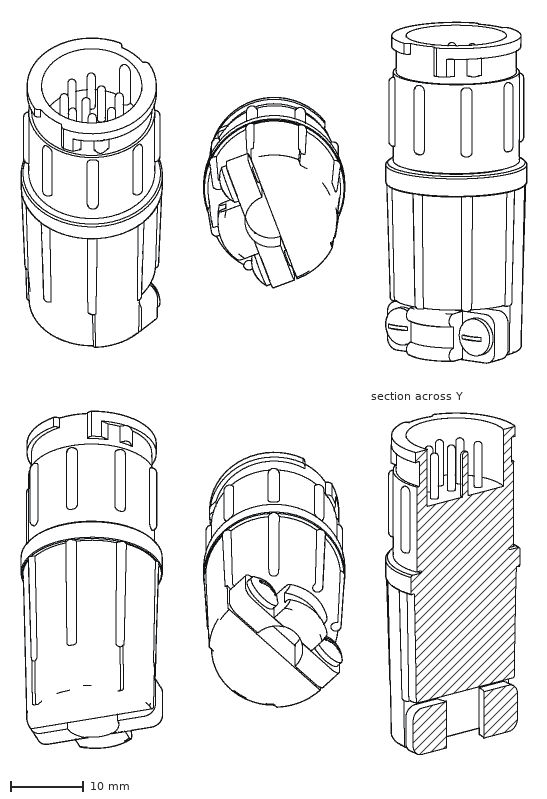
import cadquery as cq
import math

total_height = 44.75

flange_radius = 8.95
flange_height = 1.5
neck_radius = 8.3
socket_radius = 6.95
socket_depth = 8.35
notch_half_width = 1.9
notch_corner_radius = 0.9
lug_height = 4.03
lug_wedge_reach = 9.85
lug_end_outer = (3.8, -8.4)
lug_end_inner = (4.65, -6.95)
catch_x = 7.25
catch_y = 5.75
catch_corner_radius = 0.6

pin_diameter = 1.1
pin_radius = pin_diameter / 2
pin_top = 42.95
pin_circle_radius = 3.8
inner_pin_offsets = (1.92, -1.1)
pin_circle_steps = 8
top_circle_step = 2
key_radius = 0.8
key_offset = 6.7
key_top = 43.5
index_dot_radius = 0.3
index_dot_position = (-2.33, 4.05)
index_dot_height = 0.25
pin_root_depth = 0.45

sleeve_top = 39.6
sleeve_bottom = 27.05
sleeve_radius = 8.7
groove_radius = 7.95
collar_top = 26.8
collar_bottom = 23.95
collar_diameter = 19.55
collar_radius = collar_diameter / 2
collar_chamfer = 0.25
collar_lower_chamfer = 0.15

body_top_radius = 9.15
body_bottom_radius = 8.68
flank_top_radius = 9.5
flank_bottom_radius = 9.0
flank_wall_top_y = 6.75
flank_wall_bottom_y = 6.1
body_bottom = 0.7
body_edge_radius = 0.25
rear_bottom = 7.75

rib_count = 8
rib_width = 1.55
rib_radius = rib_width / 2
sleeve_rib_reach = 9.45
sleeve_rib_top = 39.15
sleeve_rib_bottom = 29.4
sleeve_rib_rounding = 0.65
body_rib_bottom = 7.6
body_rib_top_reach = 9.75
body_rib_taper = 0.03
body_rib_overlap = 0.65
body_rib_rounding = 0.45

clamp_height = 6.9
clamp_half_length = 9.12
clamp_inner_y = 0.45
clamp_outer_y = 3.62
clamp_corner_radius = 1.6
channel_radius = 3.62
saddle_half_width = 3.62
saddle_side_y = 5.73
saddle_crown_y = 6.9
saddle_bottom = 0.15
saddle_top = 6.85
rim_radius = 0.95
rim_rounding = 0.9
rim_side_y = 6.75
rim_crown_y = 7.87

screw_x = 6.25
screw_z = 3.62
shank_radius = 1.1
head_radius = 2.6
head_rim_y = 4.45
head_mid_radius = 1.7
head_mid_y = 5.05
head_crown_y = 5.45
slot_width = 0.55
slot_floor_y = 5.1


def cylinder(radius, bottom, top, x=0.0, y=0.0):
    """Vertical cylinder between two heights."""
    return cq.Workplane("XY", origin=(x, y, bottom)).circle(radius).extrude(top - bottom)


def block(x_range, y_range, z_range):
    """Box given by its lower and upper bound along each axis."""
    size = [upper - lower for lower, upper in (x_range, y_range, z_range)]
    corner = (x_range[0], y_range[0], z_range[0])
    return cq.Workplane("XY", origin=corner).box(*size, centered=False)


def half_turn_pair(solid):
    """The solid together with its copy turned half a turn about the plug axis."""
    return solid.union(solid.rotate((0, 0, 0), (0, 0, 1), 180))


def coupling():
    """Neck with a notched flange, two hooked lugs and two small catches."""
    flange_bottom = total_height - flange_height
    lug_bottom = total_height - lug_height
    wedge = (
        cq.Workplane("XY", origin=(0, 0, lug_bottom))
        .polyline([(0, 0), (0, -lug_wedge_reach), lug_end_outer, lug_end_inner])
        .close()
        .extrude(lug_height)
    )
    lug = cylinder(flange_radius, lug_bottom, total_height).intersect(wedge)
    catch = block((0, catch_x), (-catch_y, 0), (lug_bottom, flange_bottom))
    catch = catch.edges("|Z and >X and <Y").fillet(catch_corner_radius)
    ring = cylinder(flange_radius, flange_bottom, total_height)
    ring = ring.union(half_turn_pair(lug)).cut(half_turn_pair(notch_cutter(lug_bottom)))
    neck = cylinder(neck_radius, sleeve_top, total_height)
    return neck.union(ring).union(half_turn_pair(catch))


def notch_cutter(bottom):
    """Notch on the -Y side that widens outward along two convex corner arcs."""
    mouth_x = notch_half_width + notch_corner_radius
    mouth_y = math.sqrt(flange_radius**2 - mouth_x**2)
    arc_start_y = mouth_y - notch_corner_radius
    arc_offset = notch_corner_radius * (1 - math.sqrt(0.5))
    mid_x = notch_half_width + arc_offset
    mid_y = mouth_y - arc_offset
    outline = (
        cq.Workplane("XY", origin=(0, 0, bottom))
        .moveTo(-notch_half_width, -arc_start_y)
        .lineTo(notch_half_width, -arc_start_y)
        .threePointArc((mid_x, -mid_y), (mouth_x, -mouth_y))
        .lineTo(mouth_x, -flange_radius)
        .lineTo(-mouth_x, -flange_radius)
        .lineTo(-mouth_x, -mouth_y)
        .threePointArc((-mid_x, -mid_y), (-notch_half_width, -arc_start_y))
        .close()
    )
    return outline.extrude(total_height - bottom)


def round_pin(radius, bottom, top, x, y):
    """Vertical pin with a hemispherical tip."""
    pin = cylinder(radius, bottom, top - radius, x, y)
    return pin.union(cq.Workplane("XY", origin=(x, y, top - radius)).sphere(radius))


def contacts():
    """Pins, keying rib and index dot standing on the socket floor."""
    floor = total_height - socket_depth
    root = floor - pin_root_depth
    places = [(0, offset) for offset in inner_pin_offsets]
    for step in range(pin_circle_steps):
        angle = math.radians(360 / pin_circle_steps * step)
        if step != top_circle_step:
            places.append((pin_circle_radius * math.cos(angle), pin_circle_radius * math.sin(angle)))
    parts = cylinder(index_dot_radius, root, floor + index_dot_height, *index_dot_position)
    for x, y in places:
        parts = parts.union(round_pin(pin_radius, root, pin_top, x, y))
    return parts.union(round_pin(key_radius, root, key_top, 0, key_offset))


def sleeve_and_collar():
    """Cylindrical grip sleeve, relief groove and chamfered collar."""
    sleeve = cylinder(sleeve_radius, sleeve_bottom, sleeve_top)
    groove = cylinder(groove_radius, collar_bottom, sleeve_bottom)
    collar = cylinder(collar_radius, collar_bottom, collar_top)
    collar = collar.faces(">Z").chamfer(collar_chamfer).faces("<Z").chamfer(collar_lower_chamfer)
    return sleeve.union(groove).union(collar)


def tapered_body(bottom, top_radius, bottom_radius):
    """Cone below the collar with a rounded lower edge; the lower radius is at the body bottom."""
    slope = (top_radius - bottom_radius) / (collar_bottom - body_bottom)
    end_radius = top_radius - slope * (collar_bottom - bottom)
    cone = (
        cq.Workplane("XZ")
        .moveTo(0, bottom)
        .lineTo(end_radius, bottom)
        .lineTo(top_radius, collar_bottom)
        .lineTo(0, collar_bottom)
        .close()
        .revolve(360, (0, 0), (0, 1))
    )
    return cone.faces("<Z").edges().fillet(body_edge_radius)


def lower_body():
    """Rear half cut short, front half running down, with two raised front flanks."""
    reach = 2 * flank_top_radius
    front = block((-reach, reach), (-reach, 0), (0, total_height))
    flank_zone = (
        cq.Workplane("YZ", origin=(-reach, 0, 0))
        .polyline([
            (0, body_bottom),
            (0, collar_bottom),
            (-flank_wall_top_y, collar_bottom),
            (-flank_wall_bottom_y, body_bottom),
        ])
        .close()
        .extrude(2 * reach)
    )
    rear_half = tapered_body(rear_bottom, body_top_radius, body_bottom_radius)
    front_half = tapered_body(body_bottom, body_top_radius, body_bottom_radius).intersect(front)
    flanks = tapered_body(body_bottom, flank_top_radius, flank_bottom_radius).intersect(flank_zone)
    return rear_half.union(front_half).union(flanks)


def rib_ring(bottom, top, reach, rounding, taper):
    """Evenly spaced rounded ribs, each leaning inward toward its lower end by the taper."""
    rib = cylinder(rib_radius, bottom, top, x=reach - rib_radius).edges().fillet(rounding)
    hinge = (reach - rib_radius, 0, top)
    rib = rib.rotate(hinge, (hinge[0], 1, top), math.degrees(math.atan(taper)))
    ribs = rib
    for index in range(1, rib_count):
        ribs = ribs.union(rib.rotate((0, 0, 0), (0, 0, 1), 360 / rib_count * index))
    return ribs


def saddle_part(bottom, top, side_y, crown_y):
    """Arched block between two heights, highest on the part's centre plane."""
    return (
        cq.Workplane("XY", origin=(0, 0, bottom))
        .moveTo(-saddle_half_width, clamp_inner_y)
        .lineTo(-saddle_half_width, side_y)
        .threePointArc((0, crown_y), (saddle_half_width, side_y))
        .lineTo(saddle_half_width, clamp_inner_y)
        .close()
        .extrude(top - bottom)
    )


def clamp_saddle():
    """Arched cable saddle with a rounded rim along each end."""
    rim_height = 2 * rim_radius
    saddle = saddle_part(saddle_bottom, saddle_top, saddle_side_y, saddle_crown_y)
    for rim_bottom in (saddle_bottom, saddle_top - rim_height):
        rim = saddle_part(rim_bottom, rim_bottom + rim_height, rim_side_y, rim_crown_y)
        saddle = saddle.union(rim.edges("%CIRCLE").fillet(rim_rounding))
    return saddle


def clamp_screw():
    """Domed screw head with a slot, on a shank that reaches the body."""
    profile = (
        cq.Workplane("XY")
        .moveTo(0, -clamp_inner_y)
        .lineTo(shank_radius, -clamp_inner_y)
        .lineTo(shank_radius, clamp_outer_y)
        .lineTo(head_radius, clamp_outer_y)
        .lineTo(head_radius, head_rim_y)
        .threePointArc((head_mid_radius, head_mid_y), (0, head_crown_y))
        .close()
    )
    screw = profile.revolve(360, (0, 0), (0, 1))
    slot = block(
        (-head_radius, head_radius),
        (slot_floor_y, head_crown_y + slot_width),
        (-slot_width / 2, slot_width / 2),
    )
    return screw.cut(slot).translate((0, 0, screw_z))


def cable_clamp():
    """Clamp bar with rounded ends, cable saddle, half-round channel and two screws."""
    bar = block(
        (-clamp_half_length, clamp_half_length),
        (clamp_inner_y, clamp_outer_y),
        (0, clamp_height),
    )
    bar = bar.edges("|Y").fillet(clamp_corner_radius)
    channel = cylinder(channel_radius, 0, clamp_height, y=clamp_inner_y)
    clamp = bar.union(clamp_saddle()).cut(channel)
    screw = clamp_screw()
    for x in (-screw_x, screw_x):
        clamp = clamp.union(screw.translate((x, 0, 0)))
    return clamp


sleeve_ribs = rib_ring(
    sleeve_rib_bottom, sleeve_rib_top, sleeve_rib_reach, sleeve_rib_rounding, taper=0
)
body_ribs = rib_ring(
    body_rib_bottom,
    collar_bottom + body_rib_overlap,
    body_rib_top_reach,
    body_rib_rounding,
    body_rib_taper,
)
shell = coupling().union(sleeve_and_collar()).union(sleeve_ribs)
shell = shell.union(lower_body()).union(body_ribs)
socket = cylinder(socket_radius, total_height - socket_depth, total_height)
result = shell.cut(socket).union(contacts()).union(cable_clamp())